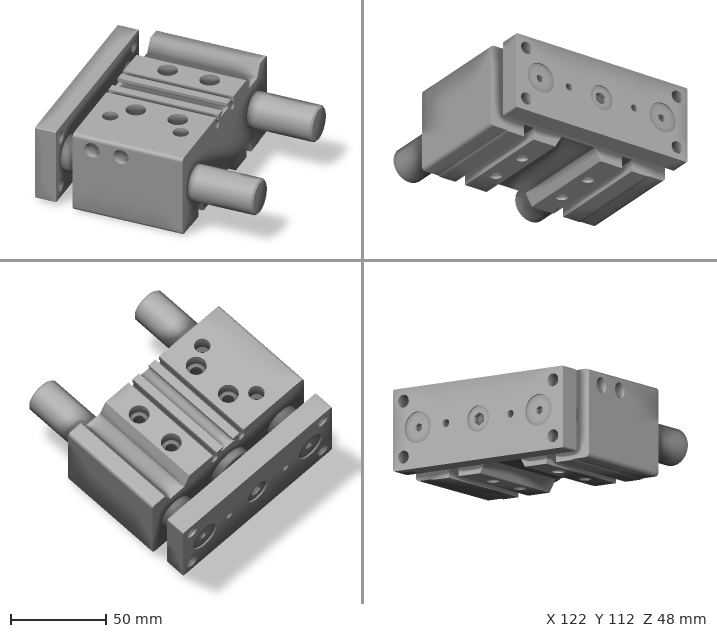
import cadquery as cq
import math

total_length = 122.0
plate_thickness = 12.0
housing_front = 22.0
housing_length = 63.0
housing_back = housing_front + housing_length

housing_width = 112.0
housing_height = 48.0
corner_radius = 2.2
half_width = housing_width / 2
half_height = housing_height / 2

pad_rise = 0.5
pad_outer_y = 44.4
pad_step_run = 1.5

groove_depth = 7.0
groove_wall_angle = 30.0
side_groove_y = 37.6
side_groove_mouth = 18.2
centre_groove_mouth = 29.0
foot_slot_y = 31.5
foot_slot_width = 6.2

sensor_slot_y = 9.9
sensor_slot_width = 2.9
sensor_bulb_diameter = 4.5
sensor_bulb_drop = 5.1
channel_mouth = 7.2
channel_lip = 2.0
channel_depth = 3.0
channel_undercut = 1.2

bolt_xs = (43.1, 67.1)
bolt_y = 21.1
bolt_hole_diameter = 6.7
counterbore_diameter = 11.0
counterbore_depth = 6.8

port_mouth_diameter = 8.7
port_floor_diameter = 8.0
port_depth = 7.9
port_bore_diameter = 2.0
port_bore_depth = 2.5
top_port_xs = (33.1, 73.6)
top_port_y = -32.0
side_port_xs = (33.1, 49.7)
side_port_z = 16.6

collar_diameter = 25.0
collar_length = 4.9
collar_chamfer = 0.5

plate_width = 109.9
plate_height = 43.9
plate_edge_chamfer = 0.5
mount_hole_diameter = 7.0
mount_hole_y = 48.3
mount_hole_z = 15.0
dowel_diameter = 4.0
dowel_y = 20.9
dowel_slot_length = 4.4

guide_rod_diameter = 20.0
guide_rod_y = 39.0
guide_rod_chamfer = 1.0
guide_recess_diameter = 17.0
guide_socket_width = 4.0
piston_rod_diameter = 16.0
piston_rod_depth = 30.5
piston_recess_diameter = 14.0
piston_socket_width = 6.1
end_recess_depth = 1.0
socket_depth = 3.0


def rod(diameter, start, end, y=0.0):
    """Round bar along X."""
    return cq.Workplane("YZ", origin=(start, y, 0)).circle(diameter / 2).extrude(end - start)


def along_housing(outline):
    """Closed YZ outline swept over the full housing length."""
    return cq.Workplane("YZ", origin=(housing_front, 0, 0)).polyline(outline).close().extrude(housing_length)


def flared_groove(y, mouth_z, depth, mouth, floor):
    """Groove with sloping walls; a negative depth cuts upward."""
    return along_housing([
        (y - mouth / 2, mouth_z),
        (y + mouth / 2, mouth_z),
        (y + floor / 2, mouth_z - depth),
        (y - floor / 2, mouth_z - depth),
    ])


def housing_block():
    underside = -half_height + pad_rise
    block = (
        cq.Workplane("XY")
        .box(housing_length, housing_width, half_height - underside, centered=(False, True, False))
        .translate((housing_front, 0, underside))
        .edges("|X")
        .fillet(corner_radius)
    )
    pad_root_y = pad_outer_y + pad_step_run
    pads = along_housing([
        (-pad_root_y, underside),
        (-pad_outer_y, -half_height),
        (pad_outer_y, -half_height),
        (pad_root_y, underside),
    ])
    return block.union(pads)


def cut_grooves(body):
    floor_loss = 2 * groove_depth * math.tan(math.radians(groove_wall_angle))
    body = body.cut(flared_groove(
        side_groove_y, half_height, groove_depth, side_groove_mouth, side_groove_mouth - floor_loss))
    body = body.cut(flared_groove(
        0, -half_height, -groove_depth, centre_groove_mouth, centre_groove_mouth - floor_loss))
    for y in (-foot_slot_y, foot_slot_y):
        body = body.cut(flared_groove(y, -half_height, -groove_depth, foot_slot_width, foot_slot_width))
    return body


def cut_sensor_slots(body):
    for y in (-sensor_slot_y, sensor_slot_y):
        neck = flared_groove(y, half_height, sensor_bulb_drop, sensor_slot_width, sensor_slot_width)
        bulb = rod(sensor_bulb_diameter, housing_front, housing_back, y)
        body = body.cut(neck).cut(bulb.translate((0, 0, half_height - sensor_bulb_drop)))
    return body


def cut_channel(body):
    """T-shaped channel between the sensor slots."""
    wide = channel_mouth + 2 * channel_undercut
    mouth = flared_groove(0, half_height, channel_depth, channel_mouth, channel_mouth)
    undercut = flared_groove(0, half_height - channel_lip, channel_depth - channel_lip, wide, wide)
    return body.cut(mouth).cut(undercut)


def cut_bolt_holes(body):
    points = [(x, y) for x in bolt_xs for y in (-bolt_y, bolt_y)]
    top = cq.Workplane("XY", origin=(0, 0, half_height)).pushPoints(points)
    holes = top.circle(bolt_hole_diameter / 2).extrude(-housing_height)
    counterbores = top.circle(counterbore_diameter / 2).extrude(-counterbore_depth)
    return body.cut(holes).cut(counterbores)


def air_port(mouth, direction):
    """Tapered port with a small bore at its floor."""
    taper = cq.Solid.makeCone(
        port_mouth_diameter / 2, port_floor_diameter / 2, port_depth, mouth, direction)
    bore = cq.Solid.makeCylinder(
        port_bore_diameter / 2, port_depth + port_bore_depth, mouth, direction)
    return cq.Workplane(taper).union(cq.Workplane(bore))


def cut_air_ports(body):
    for x in top_port_xs:
        body = body.cut(air_port(cq.Vector(x, top_port_y, half_height), cq.Vector(0, 0, -1)))
    for x in side_port_xs:
        body = body.cut(air_port(cq.Vector(x, -half_width, side_port_z), cq.Vector(0, 1, 0)))
    return body


def make_housing():
    body = cut_grooves(housing_block())
    body = cut_sensor_slots(body)
    body = cut_channel(body)
    body = cut_bolt_holes(body)
    body = cut_air_ports(body)
    collar = rod(collar_diameter, housing_front - collar_length, housing_front)
    body = body.union(collar.faces("<X").chamfer(collar_chamfer))
    for y in (-guide_rod_y, guide_rod_y):
        body = body.cut(rod(guide_rod_diameter, housing_front, housing_back, y))
    return body.cut(rod(piston_rod_diameter, plate_thickness, housing_front + piston_rod_depth))


def make_plate():
    plate = (
        cq.Workplane("XY")
        .box(plate_thickness, plate_width, plate_height, centered=(False, True, True))
        .edges("|X")
        .chamfer(plate_edge_chamfer)
    )
    face = cq.Workplane("YZ")
    mount_holes = (
        face.rect(2 * mount_hole_y, 2 * mount_hole_z, forConstruction=True)
        .vertices()
        .circle(mount_hole_diameter / 2)
        .extrude(plate_thickness)
    )
    dowel_hole = face.center(-dowel_y, 0).circle(dowel_diameter / 2).extrude(plate_thickness)
    dowel_slot = face.center(dowel_y, 0).slot2D(dowel_slot_length, dowel_diameter).extrude(plate_thickness)
    return plate.cut(mount_holes).cut(dowel_hole).cut(dowel_slot)


def rod_end(y, recess_diameter, socket_width):
    """Shallow round recess with a hexagon socket, sunk into the front of the plate."""
    recess = rod(recess_diameter, 0, end_recess_depth, y)
    socket = (
        cq.Workplane("YZ", origin=(0, y, 0))
        .polygon(6, socket_width, circumscribed=True)
        .extrude(end_recess_depth + socket_depth)
    )
    return recess.union(socket)


def make_slider():
    body = make_plate()
    for y in (-guide_rod_y, guide_rod_y):
        guide = rod(guide_rod_diameter, plate_thickness, total_length, y)
        body = body.union(guide.faces(">X").chamfer(guide_rod_chamfer))
        body = body.cut(rod_end(y, guide_recess_diameter, guide_socket_width))
    body = body.union(rod(piston_rod_diameter, plate_thickness, housing_front + piston_rod_depth))
    return body.cut(rod_end(0, piston_recess_diameter, piston_socket_width))


housing = make_housing()
slider = make_slider()
result = cq.Compound.makeCompound([housing.val(), slider.val()])